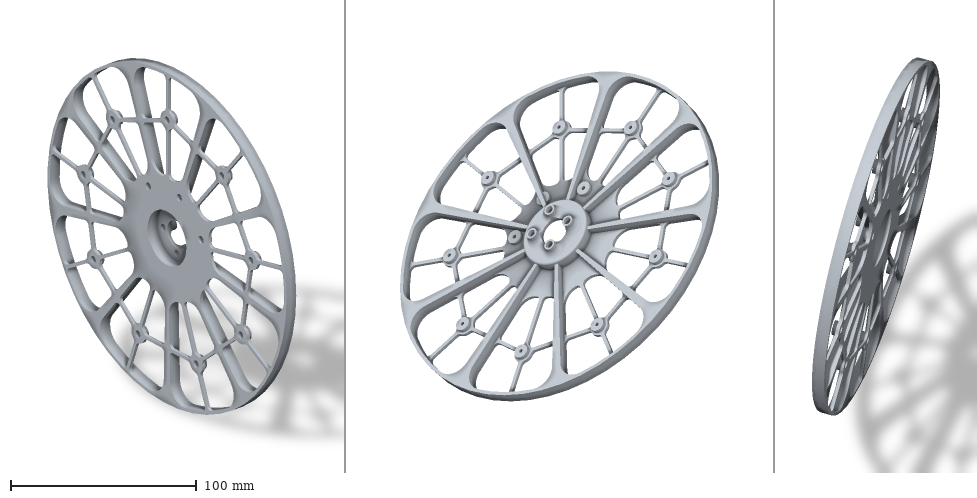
import cadquery as cq
import math

wheel_diameter = 198.3
wheel_thickness = 7.0
overall_depth = 14.0
rim_width = 2.0

sector_count = 9
sector_angle = 360 / sector_count
thick_spoke_inner_width = 2.8
thick_spoke_outer_width = 6.0
rim_corner_radius = 11.0

layer_thickness = 2.0
plate_diameter = 72.2
plate_corner_radius = 9.5
strut_width = 2.0
lattice_fillet = 2.8
node_diameter = 10.7
node_pitch_radius = 70.6
web_distance = 66.0

boss_diameter = 8.1
boss_height = 4.4
boss_floor = 1.0
node_bore_diameter = 4.2
node_pilot_diameter = 2.2
plate_bore_diameter = 4.4
plate_pilot_diameter = 2.4

plate_hole_pitch_radius = 29.7
plate_hole_step = 360 / 7
plate_hole_middle_angle = 70

hub_diameter = 40.0
flange_height = 2.0
flange_fillet = 1.2
recess_diameter = 32.1
recess_depth = wheel_thickness
center_bore_diameter = 16.0
pin_count = 4
pin_pitch_radius = 11.3
pin_diameter = 6.3
pin_bore_diameter = 4.2
pin_base_fillet = 3.0

wheel_radius = wheel_diameter / 2
rim_inner_radius = wheel_radius - rim_width
plate_radius = plate_diameter / 2
half_sector = sector_angle / 2
boss_bore_depth = boss_height - boss_floor
flange_top = wheel_thickness + flange_height
mid_radius = (plate_radius + rim_inner_radius) / 2
sector_axis_angle = 90
node_center = (0, node_pitch_radius)


def polar(radius, angle):
    """Point (x, z) at a radius and an angle in degrees from +X toward +Z."""
    return radius * math.cos(math.radians(angle)), radius * math.sin(math.radians(angle))


def sketch(y):
    """Workplane at depth y whose local axes are X and Z; extrude negative to go toward +Y."""
    return cq.Workplane("XZ", origin=(0, y, 0))


def turned(shape, angle):
    """Shape turned about the wheel axis, from +X toward +Z."""
    return shape.rotate((0, 0, 0), (0, 1, 0), -angle)


def cylinder(diameter, y_start, y_end, center=(0, 0)):
    return sketch(y_start).center(*center).circle(diameter / 2).extrude(y_start - y_end)


def thick_spoke(angle):
    """Tapered bar from the wheel axis to the rim, widening steadily outward."""
    inner = thick_spoke_inner_width / 2
    outer = thick_spoke_outer_width / 2
    slope = (outer - inner) / (rim_inner_radius - plate_radius)
    axis_half = inner - slope * plate_radius
    end_half = outer + slope * rim_width
    corners = [(0, -axis_half), (wheel_radius, -end_half), (wheel_radius, end_half), (0, axis_half)]
    return turned(sketch(0).polyline(corners).close().extrude(-wheel_thickness), angle)


def round_corners(window, z_low, z_high, radius):
    """Window with its corner edges between two heights rounded."""
    zone = cq.selectors.BoxSelector((-wheel_radius, 0, z_low), (wheel_radius, wheel_thickness, z_high))
    return window.edges("|Y").edges(zone).fillet(radius)


def sector_window(inner_diameter):
    """Full-depth space between two thick spokes, from an inner circle to the rim, with rounded rim corners."""
    ring = cylinder(2 * rim_inner_radius, 0, wheel_thickness)
    ring = ring.cut(cylinder(inner_diameter, 0, wheel_thickness))
    corners = [(0, 0)]
    for side in (-1, 1):
        corners.append(polar(wheel_diameter, sector_axis_angle + side * half_sector))
    window = ring.intersect(sketch(0).polyline(corners).close().extrude(-wheel_thickness))
    for side in (-1, 1):
        window = window.cut(thick_spoke(sector_axis_angle + side * half_sector))
    return round_corners(window, mid_radius, wheel_radius, rim_corner_radius)


def lattice_bars():
    """Radial strut, node disc and the two webs that run from the node square to the thick spokes."""
    strut = sketch(0).center(0, mid_radius).rect(strut_width, wheel_radius).extrude(-wheel_thickness)
    bars = strut.union(cylinder(node_diameter, 0, wheel_thickness, node_center))
    web_length = 2 * web_distance * math.tan(math.radians(half_sector))
    for side in (-1, 1):
        web = (
            sketch(0)
            .center(web_distance, side * web_length / 4)
            .rect(strut_width, web_length / 2)
            .extrude(-wheel_thickness)
        )
        bars = bars.union(turned(web, sector_axis_angle - side * half_sector))
    return bars


def rounded_pocket(pocket):
    """Prism of the pocket with all its sharp corners rounded to the lattice fillet."""
    outline = cq.Workplane(pocket).faces("<Y").wires().val()
    inset = outline.offset2D(-lattice_fillet)[0]
    rounded = inset.offset2D(lattice_fillet)[0]
    return cq.Workplane(cq.Solid.extrudeLinear(rounded, [], cq.Vector(0, wheel_thickness, 0)))


def add_screw_boss(body, center, bore_diameter, pilot_diameter):
    """Body with a short boss and a stepped hole, wide at the front and narrow through the boss floor."""
    body = body.union(cylinder(boss_diameter, 0, boss_height, center))
    body = body.cut(cylinder(bore_diameter, 0, boss_bore_depth, center))
    return body.cut(cylinder(pilot_diameter, 0, boss_height, center))


def front_layer_sector():
    """Front layer that fills one sector: hub plate, lattice and node with its screw boss."""
    window = sector_window(plate_diameter)
    open_area = round_corners(window, 0, mid_radius, plate_corner_radius)
    layer = sector_window(hub_diameter)
    for pocket in open_area.cut(lattice_bars()).solids().vals():
        layer = layer.cut(rounded_pocket(pocket))
    layer = layer.intersect(cylinder(wheel_diameter, 0, layer_thickness))
    return add_screw_boss(layer, node_center, node_bore_diameter, node_pilot_diameter)


def central_hub():
    """Flanged hub with four hollow pins, open at the front."""
    hub = cylinder(hub_diameter, 0, flange_top).faces(">Y").edges().fillet(flange_fillet)
    centers = [polar(pin_pitch_radius, i * 360 / pin_count) for i in range(pin_count)]
    for center in centers:
        hub = hub.union(cylinder(pin_diameter, wheel_thickness, overall_depth, center))
    flange_face = hub.faces(cq.selectors.NearestToPointSelector((0, flange_top, 0)))
    hub = flange_face.edges(cq.selectors.RadiusNthSelector(0)).fillet(pin_base_fillet)
    hub = hub.cut(cylinder(recess_diameter, 0, recess_depth))
    hub = hub.cut(cylinder(center_bore_diameter, 0, overall_depth))
    for center in centers:
        hub = hub.cut(cylinder(pin_bore_diameter, 0, overall_depth, center))
    return hub


window = sector_window(hub_diameter)
layer = front_layer_sector()
wheel = cylinder(wheel_diameter, 0, wheel_thickness)
for i in range(sector_count):
    wheel = wheel.cut(turned(window, i * sector_angle)).union(turned(layer, i * sector_angle))

for step in (-1, 0, 1):
    center = polar(plate_hole_pitch_radius, plate_hole_middle_angle + step * plate_hole_step)
    wheel = add_screw_boss(wheel, center, plate_bore_diameter, plate_pilot_diameter)

result = wheel.cut(cylinder(hub_diameter, 0, wheel_thickness)).union(central_hub())